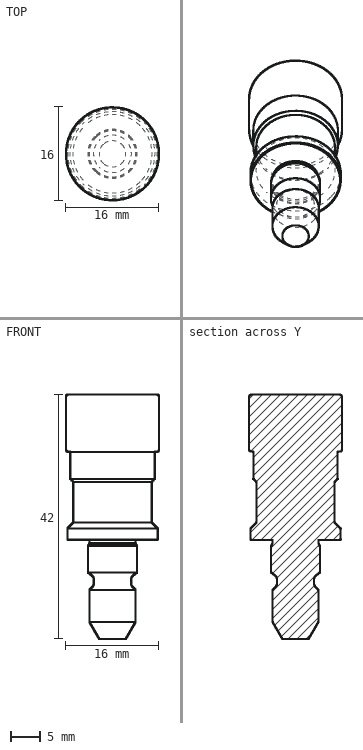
import cadquery as cq
import math

total_height = 42.0
tip_cone_top = 3.0
groove_floor_bottom = 9.55
groove_floor_top = 10.3
land_top = 16.13
neck_bottom = 16.5
flange_bottom = 17.0
flange_edge_top = 19.03
flange_cone_top = 20.05
collar_bottom = 27.0
head_bottom = 32.15

head_radius = 16.0 / 2
collar_radius = 7.25
body_radius = 6.75
flange_radius = 7.75
neck_radius = 4.0
land_radius = 4.25
groove_radius = 3.25
pin_radius = 4.0
tip_radius = 2.25

head_rounding = 0.4
collar_chamfer = 0.5
flange_chamfer = 0.13
land_chamfer = 0.13

lower_flank_angle = math.radians(45)
lower_blend_radius = 0.7
upper_flank_angle = math.radians(54)
upper_blend_radius = 0.8


def groove_flank(floor_z, outer_radius, angle, blend_radius, direction):
    """Floor end, blend midpoint, blend end and outer corner of one groove side.

    direction is +1 for the side above the floor and -1 for the side below it.
    """
    def blend_point(turn):
        radius = groove_radius + blend_radius * (1 - math.cos(turn))
        return (radius, floor_z + direction * blend_radius * math.sin(turn))

    blend_end = blend_point(angle)
    flank_height = (outer_radius - blend_end[0]) / math.tan(angle)
    corner = (outer_radius, blend_end[1] + direction * flank_height)
    return blend_point(0), blend_point(angle / 2), blend_end, corner


lower_floor, lower_mid, lower_end, lower_corner = groove_flank(
    groove_floor_bottom, pin_radius, lower_flank_angle, lower_blend_radius, -1
)
upper_floor, upper_mid, upper_end, upper_corner = groove_flank(
    groove_floor_top, land_radius, upper_flank_angle, upper_blend_radius, 1
)

profile = cq.Workplane("XZ").moveTo(0, 0)

profile = (
    profile.lineTo(tip_radius, 0)
    .lineTo(pin_radius, tip_cone_top)
    .lineTo(*lower_corner)
    .lineTo(*lower_end)
    .threePointArc(lower_mid, lower_floor)
    .lineTo(*upper_floor)
    .threePointArc(upper_mid, upper_end)
    .lineTo(*upper_corner)
)

profile = (
    profile.lineTo(land_radius, land_top - land_chamfer)
    .lineTo(land_radius - land_chamfer, land_top)
    .lineTo(neck_radius, neck_bottom)
    .lineTo(neck_radius, flange_bottom)
)

profile = (
    profile.lineTo(flange_radius - flange_chamfer, flange_bottom)
    .lineTo(flange_radius, flange_bottom + flange_chamfer)
    .lineTo(flange_radius, flange_edge_top)
    .lineTo(body_radius, flange_cone_top)
    .lineTo(body_radius, collar_bottom)
    .lineTo(collar_radius, collar_bottom + collar_chamfer)
    .lineTo(collar_radius, head_bottom)
)

head_edge = head_radius - head_rounding
profile = (
    profile.lineTo(head_edge, head_bottom)
    .radiusArc((head_radius, head_bottom + head_rounding), -head_rounding)
    .lineTo(head_radius, total_height - head_rounding)
    .radiusArc((head_edge, total_height), -head_rounding)
    .lineTo(0, total_height)
    .close()
)

result = profile.revolve(360, (0, 0, 0), (0, 1, 0))